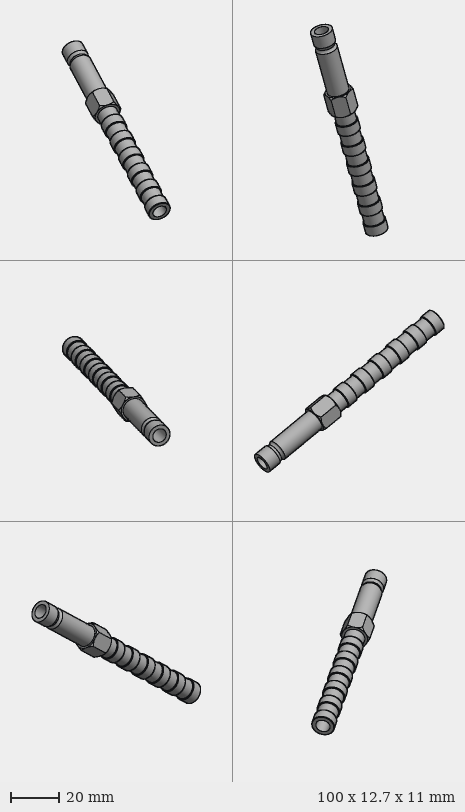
import cadquery as cq
import math

total_length = 100.0
bore_diameter = 6.0

spigot_diameter = 9.4
groove_start = 5.8
groove_width = 3.0
groove_depth = 0.7
groove_arc_bulge = 0.2

hex_start = 30.0
hex_length = 10.0
hex_across_flats = 11.0

stem_diameter = 8.7
rib_diameter = 9.7
rib_count = 6
rib_length = 5.0
rib_pitch = 10.0
rib_chamfer = 0.25

hex_end = hex_start + hex_length
hex_across_corners = hex_across_flats / math.cos(math.radians(30))


def cylinder_along_x(diameter, start, length):
    """Round bar on the X axis."""
    return cq.Workplane("YZ", origin=(start, 0, 0)).circle(diameter / 2).extrude(length)


def make_spigot():
    """Smooth bar with a retaining groove near its free end.

    The groove slopes in as a cone to its middle, then curves back out as a concave arc.
    """
    rim_radius = spigot_diameter / 2
    groove_middle = groove_start + groove_width / 2
    groove_end = groove_start + groove_width
    return (
        cq.Workplane("XY")
        .lineTo(0, rim_radius)
        .lineTo(groove_start, rim_radius)
        .lineTo(groove_middle, rim_radius - groove_depth)
        .sagittaArc((groove_end, rim_radius), -groove_arc_bulge)
        .lineTo(hex_start, rim_radius)
        .lineTo(hex_start, 0)
        .close()
        .revolve(360, (0, 0, 0), (1, 0, 0))
    )


def make_hex():
    """Hexagon with corners on Y, bevelled at 45 degrees down to the flats at both ends."""
    hexagon = (
        cq.Workplane("YZ", origin=(hex_start, 0, 0))
        .polygon(6, hex_across_corners)
        .extrude(hex_length)
    )
    corner_bevel = (hex_across_corners - hex_across_flats) / 2
    round_bar = cylinder_along_x(hex_across_corners, hex_start, hex_length)
    bevelled_bar = round_bar.faces("|X").edges().chamfer(corner_bevel)
    return hexagon.intersect(bevelled_bar)


def make_ribbed_stem():
    """Hose stem with evenly spaced chamfered ribs, the last one flush with the end."""
    stem = cylinder_along_x(stem_diameter, hex_end, total_length - hex_end)
    for index in range(rib_count):
        rib_start = total_length - rib_length - index * rib_pitch
        rib = cylinder_along_x(rib_diameter, rib_start, rib_length).faces("|X").edges().chamfer(rib_chamfer)
        stem = stem.union(rib)
    return stem


bore = cylinder_along_x(bore_diameter, 0, total_length)
result = make_spigot().union(make_hex()).union(make_ribbed_stem()).cut(bore)